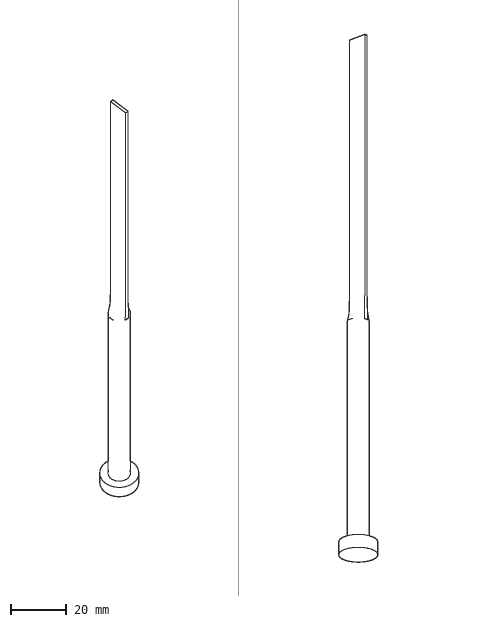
import cadquery as cq
import math

total_length = 200.0
head_height = 5.0
blade_length = 100.0
taper_length = 10.0

head_diameter = 14.0
shaft_diameter = 8.0
blade_width = 7.8
blade_thickness = 1.2

shaft_radius = shaft_diameter / 2
half_width = blade_width / 2
blade_base = total_length - blade_length
taper_base = blade_base - taper_length

half_chord = math.sqrt(shaft_radius**2 - half_width**2)


def make_head_and_shaft():
    head = cq.Workplane("XY").circle(head_diameter / 2).extrude(head_height)
    shaft = cq.Workplane("XY").circle(shaft_radius).extrude(taper_base)
    return head.union(shaft)


def make_taper():
    """Ruled transition from the side-flatted shaft circle to the blade rectangle."""
    return (
        cq.Workplane("XY", origin=(0, 0, taper_base))
        .moveTo(-half_width, -half_chord)
        .threePointArc((0, -shaft_radius), (half_width, -half_chord))
        .lineTo(half_width, half_chord)
        .threePointArc((0, shaft_radius), (-half_width, half_chord))
        .close()
        .workplane(offset=taper_length)
        .rect(blade_width, blade_thickness)
        .loft(ruled=True)
    )


def make_blade():
    return (
        cq.Workplane("XY", origin=(0, 0, blade_base))
        .rect(blade_width, blade_thickness)
        .extrude(blade_length)
    )


result = make_head_and_shaft().union(make_taper()).union(make_blade())